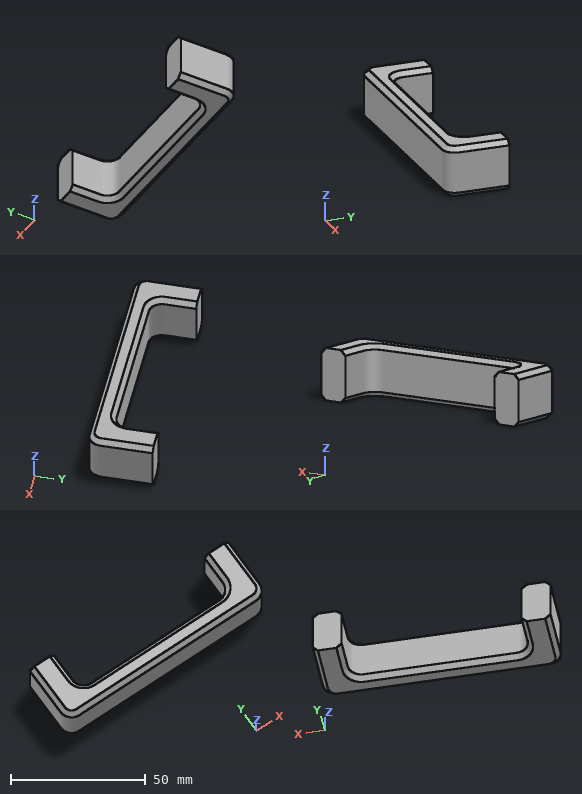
import cadquery as cq

length = 90.0
depth = 25.0
height = 20.0

leg_width = 11.0
grip_thickness = 8.0

corner_radius = 5.0
edge_chamfer = 2.0

opening_length = length - 2 * leg_width
opening_depth = depth - grip_thickness


def rounded_block(size_x, size_y, front_y):
    """Full-height block centred on X, with rounded front vertical edges."""
    return (
        cq.Workplane("XY")
        .box(size_x, size_y, height, centered=(True, False, True))
        .edges("|Z and <Y")
        .fillet(corner_radius)
        .translate((0, front_y, 0))
    )


outer_block = rounded_block(length, depth, 0)
opening = rounded_block(opening_length, opening_depth, grip_thickness)
handle = outer_block.cut(opening)

result = handle.faces("<Z or >Z").edges("not >Y").chamfer(edge_chamfer)